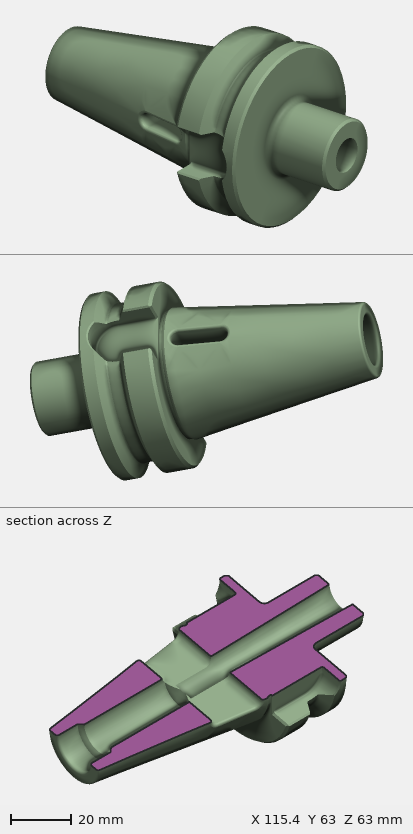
import cadquery as cq
import math

LENGTH = 115.4
GAUGE_X = 65.2
RELIEF_X = 66.2
FLANGE_X = 67.2
FLANGE_END_X = 92.3

GAUGE_RADIUS = 22.3
TAPER_RATIO = 7 / 24
TIP_RADIUS = GAUGE_RADIUS - GAUGE_X * TAPER_RATIO / 2
RELIEF_RADIUS = 21.8
FLANGE_RADIUS = 63.0 / 2
NOSE_RADIUS = 25.0 / 2
EDGE_CHAMFER = 0.8
FLANGE_ENTRY_LENGTH = 1.0
NOSE_FILLET = 2.1
TIP_FILLET = 0.8

GROOVE_CENTER_X = 81.9
GROOVE_FLOOR_WIDTH = 4.6
GROOVE_RADIUS = 26.8
GROOVE_FILLET = 0.6
GROOVE_WALL_RUN = (FLANGE_RADIUS - GROOVE_RADIUS) * math.tan(math.radians(30))

KEY_WIDTH = 16.2
KEY_FLOOR = 22.4
KEY_END_X = 88.9
KEY_CHAMFER = 0.7
KEY_FLOOR_FILLET = 0.7
CUT_CLEARANCE = 1.2
KEY_END_CHAMFER = 0.5

SLOT_START_X = 44.3
SLOT_LENGTH = 19.0
SLOT_HEIGHT = 5.3
SLOT_EDGE_RADIUS = 0.9

MOUTH_FILLET = 1.0
COUNTERBORE_RADIUS = 17.0 / 2
COUNTERBORE_DEPTH = 9.0
BORE_RADIUS = 13.8 / 2
COUNTERBORE_CONE_LENGTH = COUNTERBORE_RADIUS - BORE_RADIUS
BORE_DEPTH = 45.0
DRILL_CONE_LENGTH = BORE_RADIUS / math.tan(math.radians(59))

SOCKET_RADIUS = 12.0 / 2
SOCKET_TAPER_DEPTH = 51.9
TANG_BORE_RADIUS = 9.7 / 2
TANG_BORE_END_X = 47.4


def revolve_about_x(outline):
    return outline.close().revolve(360, (0, 0, 0), (1, 0, 0))


def make_body():
    groove_left = GROOVE_CENTER_X - GROOVE_FLOOR_WIDTH / 2
    groove_right = GROOVE_CENTER_X + GROOVE_FLOOR_WIDTH / 2
    outline = (
        cq.Workplane("XZ")
        .lineTo(0, TIP_RADIUS)
        .lineTo(GAUGE_X, GAUGE_RADIUS)
        .lineTo(RELIEF_X, RELIEF_RADIUS)
        .lineTo(FLANGE_X, RELIEF_RADIUS)
        .lineTo(FLANGE_X, FLANGE_RADIUS - EDGE_CHAMFER)
        .lineTo(FLANGE_X + FLANGE_ENTRY_LENGTH, FLANGE_RADIUS)
        .lineTo(groove_left - GROOVE_WALL_RUN, FLANGE_RADIUS)
        .lineTo(groove_left, GROOVE_RADIUS)
        .lineTo(groove_right, GROOVE_RADIUS)
        .lineTo(groove_right + GROOVE_WALL_RUN, FLANGE_RADIUS)
        .lineTo(FLANGE_END_X - EDGE_CHAMFER, FLANGE_RADIUS)
        .lineTo(FLANGE_END_X, FLANGE_RADIUS - EDGE_CHAMFER)
        .lineTo(FLANGE_END_X, NOSE_RADIUS + NOSE_FILLET)
        .radiusArc((FLANGE_END_X + NOSE_FILLET, NOSE_RADIUS), -NOSE_FILLET)
        .lineTo(LENGTH - EDGE_CHAMFER, NOSE_RADIUS)
        .lineTo(LENGTH, NOSE_RADIUS - EDGE_CHAMFER)
        .lineTo(LENGTH, 0)
    )
    body = revolve_about_x(outline).faces("<X").edges().fillet(TIP_FILLET)
    groove_corners = cq.selectors.BoxSelector(
        (groove_left - GROOVE_FILLET, -FLANGE_RADIUS, -FLANGE_RADIUS),
        (groove_right + GROOVE_FILLET, FLANGE_RADIUS, FLANGE_RADIUS),
    )
    return body.edges(groove_corners).edges("%CIRCLE").fillet(GROOVE_FILLET)


def make_keyway(side):
    """Round-ended keyway on the +Y or -Y side, with its entry edges broken."""
    arc_center_x = KEY_END_X - KEY_WIDTH / 2
    depth = FLANGE_RADIUS - KEY_FLOOR + CUT_CLEARANCE
    half_width = KEY_WIDTH / 2
    plane = cq.Plane((0, side * KEY_FLOOR, 0), (1, 0, 0), (0, side, 0))
    start_x = FLANGE_X - KEY_WIDTH
    keyway = (
        cq.Workplane(plane)
        .moveTo(start_x, -half_width)
        .lineTo(arc_center_x, -half_width)
        .threePointArc((KEY_END_X, 0), (arc_center_x, half_width))
        .lineTo(start_x, half_width)
        .close()
        .extrude(depth)
        .faces("<Y" if side > 0 else ">Y")
        .edges("not <X")
        .fillet(KEY_FLOOR_FILLET)
    )
    ahead_of_flange = cq.Workplane("XY").box(2 * FLANGE_X, 4 * FLANGE_RADIUS, 4 * FLANGE_RADIUS)
    keyway = keyway.cut(ahead_of_flange)
    entry = (
        cq.Workplane("YZ", origin=(FLANGE_X, side * (KEY_FLOOR + depth / 2), 0))
        .rect(depth, KEY_WIDTH + 2 * KEY_CHAMFER)
        .workplane(offset=KEY_CHAMFER)
        .rect(depth, KEY_WIDTH)
        .loft()
    )
    rim_y = math.sqrt(FLANGE_RADIUS**2 - half_width**2)
    outer_edges = (
        cq.Workplane("YZ", origin=(FLANGE_X, 0, 0))
        .moveTo(side * (rim_y - KEY_CHAMFER), half_width)
        .lineTo(side * FLANGE_RADIUS, half_width + FLANGE_RADIUS - rim_y + KEY_CHAMFER)
        .lineTo(side * FLANGE_RADIUS, -half_width - FLANGE_RADIUS + rim_y - KEY_CHAMFER)
        .lineTo(side * (rim_y - KEY_CHAMFER), -half_width)
        .close()
        .extrude(arc_center_x - FLANGE_X)
    )
    return keyway.union(entry).union(outer_edges)


def chamfer_keyway_end(body, side):
    """Break the curved edge where the keyway's round end meets the rim."""
    rim_point = (KEY_END_X, side * FLANGE_RADIUS, 0)
    return body.edges(cq.selectors.NearestToPointSelector(rim_point)).chamfer(KEY_END_CHAMFER)


def cut_ejector_slot(body):
    center_x = SLOT_START_X + SLOT_LENGTH / 2
    slot = (
        cq.Workplane("XZ", origin=(center_x, 0, 0))
        .slot2D(SLOT_LENGTH, SLOT_HEIGHT)
        .extrude(FLANGE_RADIUS, both=True)
    )
    rim_zone = cq.selectors.BoxSelector(
        (SLOT_START_X - CUT_CLEARANCE, -FLANGE_RADIUS, -SLOT_HEIGHT),
        (SLOT_START_X + SLOT_LENGTH + CUT_CLEARANCE, FLANGE_RADIUS, SLOT_HEIGHT),
    )
    rim_edges = body.cut(slot).edges(rim_zone).edges("not |Y")
    return rim_edges.fillet(SLOT_EDGE_RADIUS)


def make_retention_bore():
    outline = (
        cq.Workplane("XZ")
        .lineTo(0, COUNTERBORE_RADIUS)
        .lineTo(COUNTERBORE_DEPTH, COUNTERBORE_RADIUS)
        .lineTo(COUNTERBORE_DEPTH + COUNTERBORE_CONE_LENGTH, BORE_RADIUS)
        .lineTo(BORE_DEPTH, BORE_RADIUS)
        .lineTo(BORE_DEPTH + DRILL_CONE_LENGTH, 0)
    )
    return revolve_about_x(outline)


def make_tool_socket():
    outline = (
        cq.Workplane("XZ")
        .moveTo(LENGTH, 0)
        .lineTo(LENGTH, SOCKET_RADIUS)
        .lineTo(LENGTH - SOCKET_TAPER_DEPTH, TANG_BORE_RADIUS)
        .lineTo(TANG_BORE_END_X, TANG_BORE_RADIUS)
        .lineTo(TANG_BORE_END_X, 0)
    )
    return revolve_about_x(outline)


result = cut_ejector_slot(make_body())
for side in (-1, 1):
    result = result.cut(make_keyway(side))
    result = chamfer_keyway_end(result, side)
result = result.cut(make_retention_bore()).cut(make_tool_socket())
mouth_edge = cq.selectors.RadiusNthSelector(0)
result = result.faces("<X").edges(mouth_edge).fillet(MOUTH_FILLET)